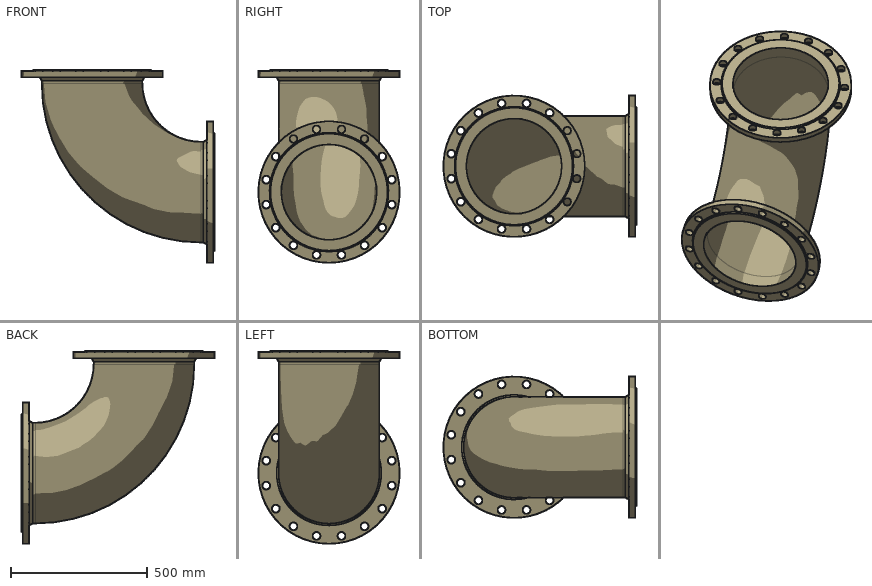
import cadquery as cq

length = 710.0
flange_diameter = 520.0
flange_thickness = 23.5
face_diameter = 429.5
face_base_diameter = 437.5
face_height = 5.0
pipe_diameter = 370.5
bore_diameter = 350.0
collar_diameter = 385.0
collar_length = 13.0
bend_radius = 400.0
bolt_count = 16
bolt_circle_diameter = 470.0
bolt_hole_diameter = 28.0

reach = length - flange_diameter / 2
end_length = reach - bend_radius
neck_length = end_length - face_height - flange_thickness - collar_length


def end_profile():
    """Outer half-section of a pipe end: radius against distance from the bend."""
    collar_end = neck_length + collar_length
    flange_end = collar_end + flange_thickness
    return (
        cq.Workplane("XZ")
        .moveTo(0, 0)
        .lineTo(pipe_diameter / 2, 0)
        .lineTo(pipe_diameter / 2, neck_length)
        .lineTo(collar_diameter / 2, collar_end)
        .lineTo(flange_diameter / 2, collar_end)
        .lineTo(flange_diameter / 2, flange_end)
        .lineTo(face_base_diameter / 2, flange_end)
        .lineTo(face_diameter / 2, end_length)
        .lineTo(0, end_length)
        .close()
    )


def flanged_end():
    """Pipe end along +Z, with its bolt holes straddling the centre lines."""
    body = end_profile().revolve(360, (0, 0, 0), (0, 1, 0))
    first_angle = 180 / bolt_count
    holes = (
        cq.Workplane("XY")
        .workplane(offset=neck_length + collar_length)
        .polarArray(bolt_circle_diameter / 2, first_angle, 360, bolt_count)
        .circle(bolt_hole_diameter / 2)
        .extrude(flange_thickness)
    )
    bore = cq.Workplane("XY").circle(bore_diameter / 2).extrude(end_length)
    return body.cut(holes).cut(bore)


def bend():
    """Quarter-turn pipe from the upper end to the +X end."""
    return (
        cq.Workplane("XY")
        .circle(pipe_diameter / 2)
        .circle(bore_diameter / 2)
        .revolve(90, (bend_radius, 0, 0), (bend_radius, -1, 0))
        .translate((0, 0, bend_radius))
    )


upper_end = flanged_end().translate((0, 0, bend_radius))
side_end = flanged_end().rotate((0, 0, 0), (0, 1, 0), 90).translate((bend_radius, 0, 0))
result = bend().union(upper_end).union(side_end)